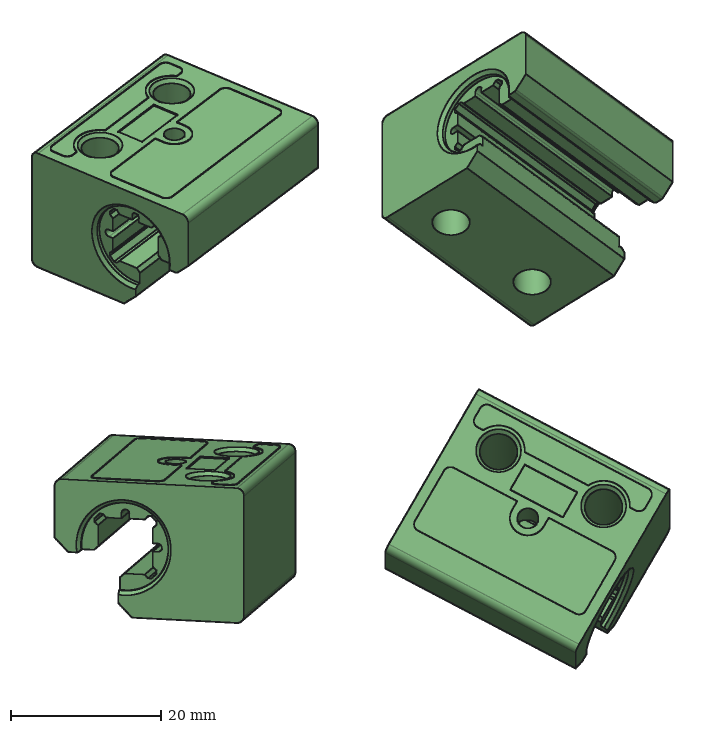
import cadquery as cq

WIDTH = 26.0
LENGTH = 29.0
HEIGHT = 18.5
PAD_HEIGHT = 0.1
BODY_HEIGHT = HEIGHT - PAD_HEIGHT
EDGE_RADIUS = 1.0

BORE_X = 16.5
BORE_Z = 9.5
BORE_RADIUS = 6.0
BORE_CHAMFER = 0.5

JAW_OFFSET = 0.75
LIP_OFFSET = 1.0
OPENING_CHAMFER = 1.9
LIP_RADIUS = 0.5
LIP_BEVEL = 0.3

LINER_LENGTH = 27.0
SQUARE_HALF = 3.75
LINER_CHAMFER = 0.55
RELIEF_DEPTH = 0.5
RELIEF_NECK = 2.65
RELIEF_SHOULDER = 3.1
RELIEF_END = 3.55
SLOT_WIDTH = 1.1
SLOT_REACH = 5.0

MOUNT_X = 6.5
MOUNT_Y = 8.0
MOUNT_DIAMETER = 5.0
MOUNT_CHAMFER = 0.5

PIN_X = 12.9
PIN_DIAMETER = 2.8
PIN_FLOOR_Z = BORE_Z + SQUARE_HALF

PAD_HALF_LENGTH = 13.0
PAD_CORNER_RADIUS = 1.0
LEFT_PAD_X = (1.5, 5.0)
RIGHT_PAD_X = (11.5, 21.5)
MOUNT_CLEARANCE_RADIUS = 3.5
PIN_CLEARANCE_RADIUS = 2.4
LABEL_X = (6.5, 10.5)
LABEL_HALF_LENGTH = 4.0
LABEL_DEPTH = 0.2


def box_between(x_min, x_max, y_min, y_max, z_min, z_max):
    size = (x_max - x_min, y_max - y_min, z_max - z_min)
    return cq.Workplane("XY").box(*size, centered=False).translate((x_min, y_min, z_min))


def bore_sketch():
    """Plane across the length at mid-length, with its origin on the bore axis."""
    return cq.Workplane("XZ", origin=(BORE_X, 0, BORE_Z))


def along_length(sketch, length):
    return sketch.extrude(length / 2, both=True)


def vertical_cylinder(x, y, radius, z_min, z_max):
    return cq.Workplane("XY", origin=(x, y, z_min)).circle(radius).extrude(z_max - z_min)


def housing():
    """Block with rounded outer edges, an open lower right quadrant and the bore for the liner."""
    left = -BORE_X
    right = WIDTH - BORE_X
    bottom = -BORE_Z
    top = BODY_HEIGHT - BORE_Z
    outline = (
        bore_sketch()
        .moveTo(left, bottom)
        .lineTo(JAW_OFFSET - OPENING_CHAMFER, bottom)
        .lineTo(JAW_OFFSET, bottom + OPENING_CHAMFER)
        .lineTo(JAW_OFFSET, -JAW_OFFSET)
        .lineTo(BORE_RADIUS, -JAW_OFFSET)
        .lineTo(BORE_RADIUS + LIP_BEVEL, -LIP_OFFSET)
        .lineTo(right - OPENING_CHAMFER, -LIP_OFFSET)
        .lineTo(right, OPENING_CHAMFER - LIP_OFFSET)
        .lineTo(right, top)
        .lineTo(left, top)
        .close()
    )
    body = along_length(outline, LENGTH)
    body = body.edges("|Y").edges("<X or >Z").fillet(EDGE_RADIUS)
    lip_corner = cq.selectors.NearestToPointSelector((WIDTH - OPENING_CHAMFER, 0, BORE_Z - LIP_OFFSET))
    body = body.edges("|Y").edges(lip_corner).fillet(LIP_RADIUS)
    return body.cut(bore())


def bore():
    """Cylinder along the length that widens by a chamfer at both ends."""
    half = LENGTH / 2
    mouth_radius = BORE_RADIUS + BORE_CHAMFER
    return (
        cq.Workplane("XY", origin=(BORE_X, 0, BORE_Z))
        .moveTo(0, -half)
        .lineTo(mouth_radius, -half)
        .lineTo(BORE_RADIUS, BORE_CHAMFER - half)
        .lineTo(BORE_RADIUS, half - BORE_CHAMFER)
        .lineTo(mouth_radius, half)
        .lineTo(0, half)
        .close()
        .revolve(360, (0, 0, 0), (0, 1, 0))
    )


def corner_relief(x_sign, z_sign):
    """Dirt relief that widens one corner of the square bore."""
    reach = SQUARE_HALF + RELIEF_DEPTH
    one_side = [
        (SQUARE_HALF, RELIEF_NECK),
        (reach, RELIEF_SHOULDER),
        (reach, RELIEF_END),
    ]
    other_side = [(z, x) for x, z in reversed(one_side)]
    points = [(x_sign * x, z_sign * z) for x, z in one_side + other_side]
    return along_length(bore_sketch().polyline(points).close(), LINER_LENGTH)


def relief_slot(x, z, angle):
    """Slot through the middle of one liner wall; its inner round end lies in the open bore."""
    sketch = bore_sketch().center(x, z).slot2D(SLOT_REACH, SLOT_WIDTH, angle)
    return along_length(sketch, LINER_LENGTH)


def liner():
    """Round liner with a relieved, slotted square bore and two bevelled jaws."""
    ring = along_length(bore_sketch().circle(BORE_RADIUS), LINER_LENGTH)
    square_side = 2 * SQUARE_HALF
    ring = ring.cut(along_length(bore_sketch().rect(square_side, square_side), LINER_LENGTH))
    for x_sign, z_sign in [(-1, 1), (1, 1), (-1, -1)]:
        ring = ring.cut(corner_relief(x_sign, z_sign))
    opening = (
        bore_sketch()
        .moveTo(JAW_OFFSET, -BORE_RADIUS)
        .lineTo(JAW_OFFSET, -SQUARE_HALF - LINER_CHAMFER)
        .lineTo(JAW_OFFSET - LINER_CHAMFER, -SQUARE_HALF)
        .lineTo(SQUARE_HALF, LINER_CHAMFER - JAW_OFFSET)
        .lineTo(SQUARE_HALF + LINER_CHAMFER, -JAW_OFFSET)
        .lineTo(BORE_RADIUS, -JAW_OFFSET)
        .lineTo(BORE_RADIUS, -BORE_RADIUS)
        .close()
    )
    ring = ring.cut(along_length(opening, LINER_LENGTH))
    upper_slot = relief_slot(0, SLOT_REACH / 2, 90)
    left_slot = relief_slot(-SLOT_REACH / 2, 0, 0)
    return ring.cut(upper_slot).cut(left_slot)


def pad(x_range):
    plate = box_between(*x_range, -PAD_HALF_LENGTH, PAD_HALF_LENGTH, BODY_HEIGHT, HEIGHT)
    return plate.edges("|Z").fillet(PAD_CORNER_RADIUS)


def left_pad():
    plate = pad(LEFT_PAD_X)
    for y in (-MOUNT_Y, MOUNT_Y):
        plate = plate.cut(vertical_cylinder(MOUNT_X, y, MOUNT_CLEARANCE_RADIUS, BODY_HEIGHT, HEIGHT))
    return plate


def right_pad():
    """Pad with a round-ended notch around the blind hole."""
    r = PIN_CLEARANCE_RADIUS
    notch = box_between(RIGHT_PAD_X[0], PIN_X, -r, r, BODY_HEIGHT, HEIGHT)
    notch = notch.union(vertical_cylinder(PIN_X, 0, r, BODY_HEIGHT, HEIGHT))
    return pad(RIGHT_PAD_X).cut(notch)


def mounting_hole(y):
    radius = MOUNT_DIAMETER / 2
    mouth = (
        cq.Workplane("XY", origin=(MOUNT_X, y, BODY_HEIGHT))
        .circle(radius + MOUNT_CHAMFER)
        .extrude(-MOUNT_CHAMFER, taper=45)
    )
    return vertical_cylinder(MOUNT_X, y, radius, 0, BODY_HEIGHT).union(mouth)


def label_field():
    return box_between(
        *LABEL_X, -LABEL_HALF_LENGTH, LABEL_HALF_LENGTH, BODY_HEIGHT - LABEL_DEPTH, BODY_HEIGHT
    )


block = housing()
block = block.cut(vertical_cylinder(PIN_X, 0, PIN_DIAMETER / 2, PIN_FLOOR_Z, BODY_HEIGHT))
for hole_y in (-MOUNT_Y, MOUNT_Y):
    block = block.cut(mounting_hole(hole_y))
block = block.cut(label_field())

result = block.union(liner()).union(left_pad()).union(right_pad())